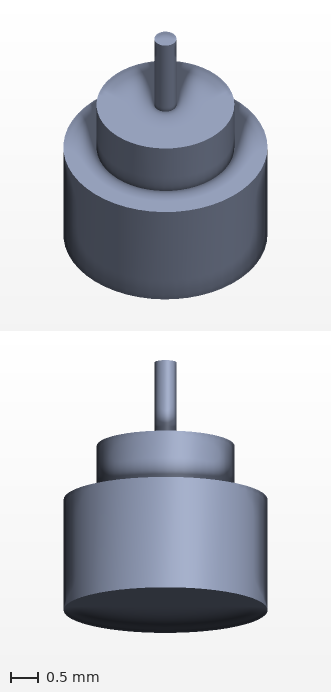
import cadquery as cq

total_height = 4.6
body_diameter = 3.7

body_height = 2.05
collar_diameter = 2.5
collar_height = 1.0

bead_diameter = 1.955

pin_diameter = 0.4
collar_top = body_height + collar_height
pin_length = total_height - collar_top


def cylinder(diameter, height, base_z):
    """Upright cylinder centred on the Z axis."""
    return cq.Workplane("XY").workplane(offset=base_z).circle(diameter / 2).extrude(height)


body = cylinder(body_diameter, body_height, 0)
collar = cylinder(collar_diameter, collar_height, body_height)
bead = cylinder(bead_diameter, collar_height, body_height)
pin = cylinder(pin_diameter, pin_length, collar_top)

shell = body.union(collar).cut(bead)
result = shell.union(bead, clean=False).union(pin, clean=False)